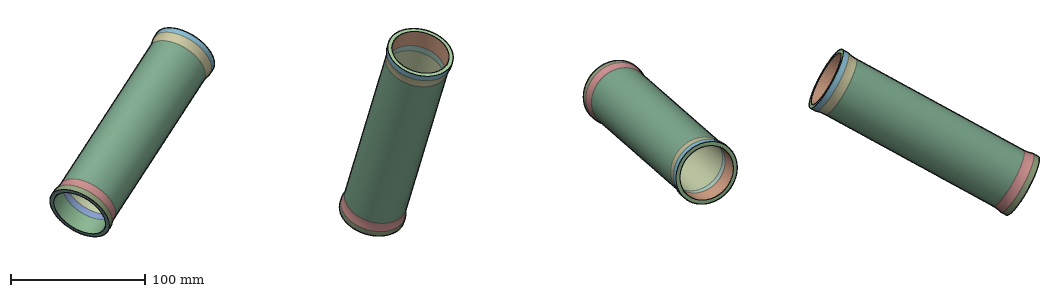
import cadquery as cq

length = 170.0
collar_diameter = 50.0
body_diameter = 47.6
end_bore_diameter = 43.5
middle_bore_diameter = 44.5

collar_length = 4.8
flare_length = 7.6
end_bore_depth = 15.0
bore_taper_length = 6.0

end = length / 2
collar_start = end - collar_length
flare_start = collar_start - flare_length
end_bore_start = end - end_bore_depth
taper_start = end_bore_start - bore_taper_length

collar_radius = collar_diameter / 2
body_radius = body_diameter / 2
end_bore_radius = end_bore_diameter / 2
middle_bore_radius = middle_bore_diameter / 2

flare_rise = collar_radius - body_radius
flare_radius = (flare_length**2 + flare_rise**2) / (2 * flare_rise)


def flare_middle_radius():
    """Tube radius halfway along the flare."""
    half_run = flare_length / 2
    return body_radius + flare_radius - (flare_radius**2 - half_run**2) ** 0.5


def tube_wall():
    """Wall section in the XY plane, with X as the radius."""
    flare_middle = (collar_start + flare_start) / 2
    return (
        cq.Workplane("XY")
        .moveTo(end_bore_radius, -end)
        .lineTo(collar_radius, -end)
        .lineTo(collar_radius, -collar_start)
        .threePointArc((flare_middle_radius(), -flare_middle), (body_radius, -flare_start))
        .lineTo(body_radius, flare_start)
        .threePointArc((flare_middle_radius(), flare_middle), (collar_radius, collar_start))
        .lineTo(collar_radius, end)
        .lineTo(end_bore_radius, end)
        .lineTo(end_bore_radius, end_bore_start)
        .lineTo(middle_bore_radius, taper_start)
        .lineTo(middle_bore_radius, -taper_start)
        .lineTo(end_bore_radius, -end_bore_start)
        .close()
    )


result = tube_wall().revolve(360, (0, 0, 0), (0, 1, 0))